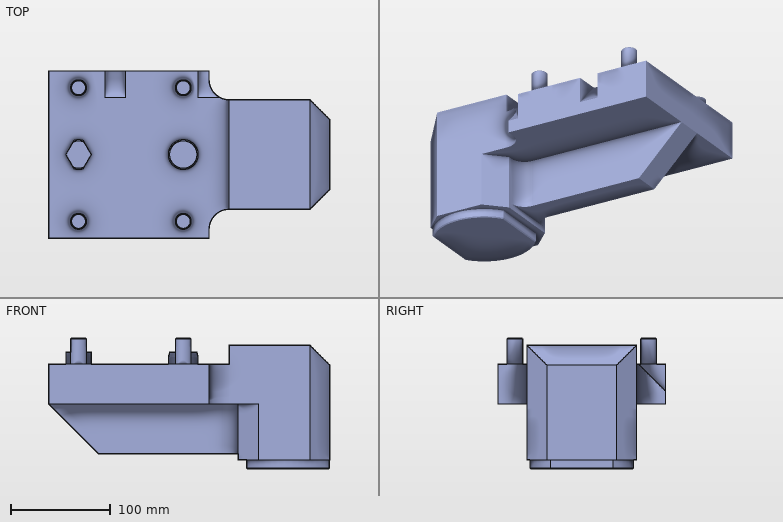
import cadquery as cq
import math


PLATE_LENGTH = 161.0
PLATE_WIDTH = 168.0
PLATE_THICKNESS = 40.0
NECK_RADIUS = 20.0

HEAD_END_X = 282.0
HEAD_WIDTH = 110.0
HEAD_TOP_Z = 19.0
HEAD_BOTTOM_Z = -96.0
HEAD_CHAMFER = 20.0
LOWER_HEAD_START_X = 190.0
LOWER_HEAD_CHAMFER = 20.3
HEAD_START_X = PLATE_LENGTH + NECK_RADIUS

FLANGE_CENTER_X = 240.0
FLANGE_DIAMETER = 104.0
FLANGE_ACROSS_FLATS = 83.0
FLANGE_BOTTOM_Z = -105.0
FLANGE_CHAMFER = 1.0

WEB_WIDTH = 30.0
WEB_BOTTOM_Z = -90.0
WEB_FILLET = 15.0
WEB_HEIGHT = -WEB_BOTTOM_Z - PLATE_THICKNESS

PIN_X = (30.0, 135.0)
PIN_Y = 67.0
PIN_DIAMETER = 16.0
PIN_HEIGHT = 26.0
PIN_CHAMFER = 1.0
LOCATOR_DIAMETER = 30.0
LOCATOR_HEIGHT = 12.0
LOCATOR_TAPER_HEIGHT = 5.0
LOCATOR_TAPER_INSET = 1.3
DIAMOND_WIDTH = 25.5
DIAMOND_FLANK_ANGLE = 60.0

NOTCH_START_X = (56.75, 149.75)
NOTCH_LENGTH = 20.5
NOTCH_DEPTH = 27.0


def block(x_start, x_end, width, z_bottom, z_top):
    """Box centred on Y, spanning the given X and Z limits."""
    return (
        cq.Workplane("XY", origin=(x_start, 0, z_bottom))
        .rect(x_end - x_start, width)
        .extrude(z_top - z_bottom)
        .translate(((x_end - x_start) / 2, 0, 0))
    )


def make_plate():
    """Rectangular plate that narrows to the head width through two concave arcs."""
    half_width = PLATE_WIDTH / 2
    half_head = HEAD_WIDTH / 2
    arc_start_y = half_head + NECK_RADIUS
    return (
        cq.Workplane("XY", origin=(0, 0, -PLATE_THICKNESS))
        .moveTo(0, -half_width)
        .lineTo(PLATE_LENGTH, -half_width)
        .lineTo(PLATE_LENGTH, -arc_start_y)
        .radiusArc((HEAD_START_X, -half_head), NECK_RADIUS)
        .lineTo(HEAD_START_X, half_head)
        .radiusArc((PLATE_LENGTH, arc_start_y), NECK_RADIUS)
        .lineTo(PLATE_LENGTH, half_width)
        .lineTo(0, half_width)
        .close()
        .extrude(PLATE_THICKNESS)
    )


def make_head():
    """Head block with a chamfered far end and chamfered lower near corners."""
    upper = block(HEAD_START_X, HEAD_END_X, HEAD_WIDTH, -PLATE_THICKNESS, HEAD_TOP_Z)
    lower = block(LOWER_HEAD_START_X, HEAD_END_X, HEAD_WIDTH, HEAD_BOTTOM_Z, -PLATE_THICKNESS)
    lower = lower.edges("|Z and <X").chamfer(LOWER_HEAD_CHAMFER)
    head = upper.union(lower).clean()
    return head.faces(">X").edges("|Z or >Z").chamfer(HEAD_CHAMFER)


def make_flange():
    """Disc with a flat on each X side and a small chamfer around its lower edge."""
    thickness = HEAD_BOTTOM_Z - FLANGE_BOTTOM_Z
    disc = (
        cq.Workplane("XY", origin=(FLANGE_CENTER_X, 0, FLANGE_BOTTOM_Z))
        .circle(FLANGE_DIAMETER / 2)
        .extrude(thickness)
    )
    half_flats = FLANGE_ACROSS_FLATS / 2
    between_flats = block(
        FLANGE_CENTER_X - half_flats,
        FLANGE_CENTER_X + half_flats,
        FLANGE_DIAMETER,
        FLANGE_BOTTOM_Z,
        HEAD_BOTTOM_Z,
    )
    return disc.intersect(between_flats).faces("<Z").chamfer(FLANGE_CHAMFER)


def make_web():
    """Web flared into the head by two fillets, cut off at 45 degrees at its free end."""
    half_web = WEB_WIDTH / 2
    half_root = half_web + WEB_FILLET
    flare_x = LOWER_HEAD_START_X - WEB_FILLET
    plan = (
        cq.Workplane("XY", origin=(0, 0, WEB_BOTTOM_Z))
        .moveTo(0, -half_web)
        .lineTo(flare_x, -half_web)
        .radiusArc((LOWER_HEAD_START_X, -half_root), WEB_FILLET)
        .lineTo(LOWER_HEAD_START_X, half_root)
        .radiusArc((flare_x, half_web), WEB_FILLET)
        .lineTo(0, half_web)
        .close()
        .extrude(WEB_HEIGHT)
    )
    sloped_end = (
        cq.Workplane("XZ")
        .polyline([(0, -PLATE_THICKNESS), (0, WEB_BOTTOM_Z), (WEB_HEIGHT, WEB_BOTTOM_Z)])
        .close()
        .extrude(half_web, both=True)
    )
    return plan.cut(sloped_end)


def make_pins():
    """Four round pins with chamfered tips."""
    centers = [(x, y) for x in PIN_X for y in (-PIN_Y, PIN_Y)]
    return (
        cq.Workplane("XY")
        .pushPoints(centers)
        .circle(PIN_DIAMETER / 2)
        .extrude(PIN_HEIGHT)
        .faces(">Z")
        .chamfer(PIN_CHAMFER)
    )


def make_round_locator(x):
    """Round locator with a tapered lead-in."""
    return (
        cq.Workplane("XY", origin=(x, 0, 0))
        .circle(LOCATOR_DIAMETER / 2)
        .extrude(LOCATOR_HEIGHT)
        .faces(">Z")
        .chamfer(LOCATOR_TAPER_HEIGHT, LOCATOR_TAPER_INSET)
    )


def make_diamond_locator(x):
    """Round locator trimmed to a diamond, leaving arcs at its two Y ends."""
    half_x = DIAMOND_WIDTH / 2
    half_y = half_x * math.tan(math.radians(DIAMOND_FLANK_ANGLE))
    diamond = (
        cq.Workplane("XY", origin=(x, 0, 0))
        .polyline([(-half_x, 0), (0, -half_y), (half_x, 0), (0, half_y)])
        .close()
        .extrude(LOCATOR_HEIGHT)
    )
    return make_round_locator(x).intersect(diamond)


def make_notch(x_start):
    """Wedge whose floor falls at 45 degrees towards the rear edge of the plate."""
    rear_y = PLATE_WIDTH / 2
    return (
        cq.Workplane("YZ", origin=(x_start, 0, 0))
        .polyline([(rear_y - NOTCH_DEPTH, 0), (rear_y, 0), (rear_y, -NOTCH_DEPTH)])
        .close()
        .extrude(NOTCH_LENGTH)
    )


plate = make_plate()
for notch_x in NOTCH_START_X:
    plate = plate.cut(make_notch(notch_x))

result = (
    plate.union(make_head())
    .union(make_web())
    .union(make_flange())
    .union(make_pins())
    .union(make_diamond_locator(PIN_X[0]))
    .union(make_round_locator(PIN_X[1]))
)